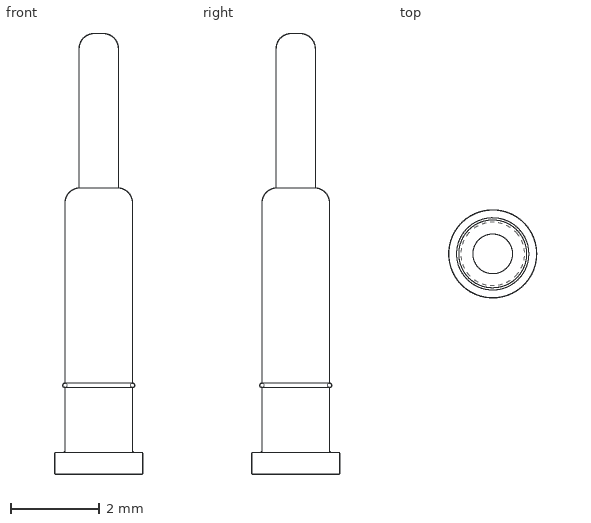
import math

import cadquery as cq

total_height = 10.0
flange_diameter = 2.0
flange_thickness = 0.5
edge_radius = 0.03
barrel_diameter = 1.54
barrel_height = 6.5
shoulder_radius = 0.35
tip_diameter = 0.9
nose_radius = 0.35

ring_section_radius = 0.05
ring_height = 2.02

flange_radius = flange_diameter / 2
barrel_radius = barrel_diameter / 2
tip_radius = tip_diameter / 2

shoulder_start = barrel_height - shoulder_radius
shoulder_reach = tip_radius - (barrel_radius - shoulder_radius)
shoulder_end = shoulder_start + math.sqrt(shoulder_radius**2 - shoulder_reach**2)


def make_ring():
    """Torus centred on the barrel wall."""
    torus = cq.Solid.makeTorus(barrel_radius, ring_section_radius)
    return cq.Workplane(torus.translate(cq.Vector(0, 0, ring_height)))


def make_pin_blank():
    """Revolve the outline of the pin body, before its ring groove is cut."""
    outline = (
        cq.Workplane("XZ")
        .lineTo(flange_radius - edge_radius, 0)
        .radiusArc((flange_radius, edge_radius), -edge_radius)
        .lineTo(flange_radius, flange_thickness - edge_radius)
        .radiusArc((flange_radius - edge_radius, flange_thickness), -edge_radius)
        .lineTo(barrel_radius + edge_radius, flange_thickness)
        .radiusArc((barrel_radius, flange_thickness + edge_radius), edge_radius)
        .lineTo(barrel_radius, shoulder_start)
        .radiusArc((tip_radius, shoulder_end), -shoulder_radius)
        .lineTo(tip_radius, total_height - nose_radius)
        .radiusArc((tip_radius - nose_radius, total_height), -nose_radius)
        .lineTo(0, total_height)
        .close()
    )
    return outline.revolve(360, (0, 0), (0, 1))


ring = make_ring()
pin_body = make_pin_blank().cut(ring)

result = cq.Compound.makeCompound([pin_body.val(), ring.val()])